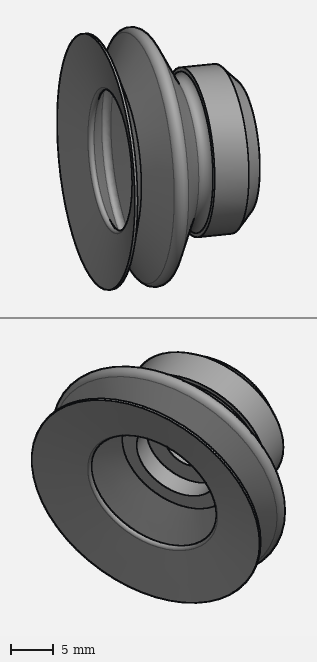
import cadquery as cq
import math

total_length = 17.6

collar_radius = 10.0
collar_chamfer = 2.0
collar_front = 11.4

groove_radius = 9.0
groove_y = 10.45
round_radius = 1.0

flank_angle = math.radians(61)
crest_radius = 15.3

neck_y = 2.35
lip_radius = 15.1
lip_thickness = 0.35

throat_start_y = 1.7
throat_start_radius = 8.6
throat_round = 0.4

hollow_end_y = 7.9
hollow_end_radius = 7.25
hollow_back_slope = 2.4
hollow_crest_round = 0.6

counterbore_radius = 5.35
counterbore_end_y = 10.37
bore_radius = 2.9

flank_sin = math.sin(flank_angle)
flank_cos = math.cos(flank_angle)
flank_slope = math.tan(flank_angle)


def on_circle(center, radius, radial_part, axial_part):
    """Point (radial, axial) on a circle, in a direction that need not have unit length."""
    length = math.hypot(radial_part, axial_part)
    return (
        center[0] + radius * radial_part / length,
        center[1] + radius * axial_part / length,
    )


def outer_body():
    """Solid of revolution inside the outer skin."""
    groove_center = (groove_radius + round_radius, groove_y)
    groove_back = on_circle(groove_center, round_radius, -flank_cos, flank_sin)
    groove_bottom = (groove_radius, groove_y)
    groove_front = on_circle(groove_center, round_radius, -flank_cos, -flank_sin)

    crest_center_radius = crest_radius - round_radius
    center_rise = crest_center_radius - groove_center[0]
    crest_y = groove_y - (2 * round_radius + center_rise * flank_cos) / flank_sin
    crest_center = (crest_center_radius, crest_y)
    crest_back = on_circle(crest_center, round_radius, flank_cos, flank_sin)
    crest_front = on_circle(crest_center, round_radius, flank_cos, -flank_sin)
    neck_radius = crest_front[0] - flank_slope * (crest_front[1] - neck_y)

    return (
        cq.Workplane("XY")
        .moveTo(0, 0)
        .lineTo(lip_radius, 0)
        .lineTo(lip_radius, lip_thickness)
        .lineTo(neck_radius, neck_y)
        .lineTo(*crest_front)
        .threePointArc((crest_radius, crest_y), crest_back)
        .lineTo(*groove_front)
        .threePointArc(groove_bottom, groove_back)
        .lineTo(collar_radius, collar_front)
        .lineTo(collar_radius, total_length - collar_chamfer)
        .lineTo(collar_radius - collar_chamfer, total_length)
        .lineTo(0, total_length)
        .close()
        .revolve(360, (0, 0, 0), (0, 1, 0))
    )


def inner_cavity():
    """Solid of revolution that hollows the lip, the convolution and the bore."""
    lip_run = lip_radius - throat_start_radius
    lip_length = math.hypot(lip_run, throat_start_y)
    throat_center = (
        throat_start_radius + throat_round * throat_start_y / lip_length,
        throat_start_y + throat_round * lip_run / lip_length,
    )
    throat_start = (throat_start_radius, throat_start_y)
    throat_bottom = (throat_center[0] - throat_round, throat_center[1])
    throat_end = on_circle(throat_center, throat_round, -flank_cos, flank_sin)

    hollow_run = hollow_end_y - throat_end[1]
    back_rise = hollow_end_radius + hollow_back_slope * hollow_run - throat_end[0]
    hollow_crest_offset = back_rise / (flank_slope + hollow_back_slope)
    hollow_crest = (
        throat_end[0] + flank_slope * hollow_crest_offset,
        throat_end[1] + hollow_crest_offset,
    )

    cavity = (
        cq.Workplane("XY")
        .moveTo(0, 0)
        .lineTo(lip_radius, 0)
        .lineTo(*throat_start)
        .threePointArc(throat_bottom, throat_end)
        .lineTo(*hollow_crest)
        .lineTo(hollow_end_radius, hollow_end_y)
        .lineTo(counterbore_radius, hollow_end_y)
        .lineTo(counterbore_radius, counterbore_end_y)
        .lineTo(bore_radius, counterbore_end_y)
        .lineTo(bore_radius, total_length)
        .lineTo(0, total_length)
        .close()
        .revolve(360, (0, 0, 0), (0, 1, 0))
    )
    crest_edge = cq.selectors.BoxSelector(
        (-crest_radius, hollow_crest[1] - hollow_crest_round, -crest_radius),
        (crest_radius, hollow_crest[1] + hollow_crest_round, crest_radius),
    )
    return cavity.edges("%CIRCLE").edges(crest_edge).fillet(hollow_crest_round)


result = outer_body().cut(inner_cavity())